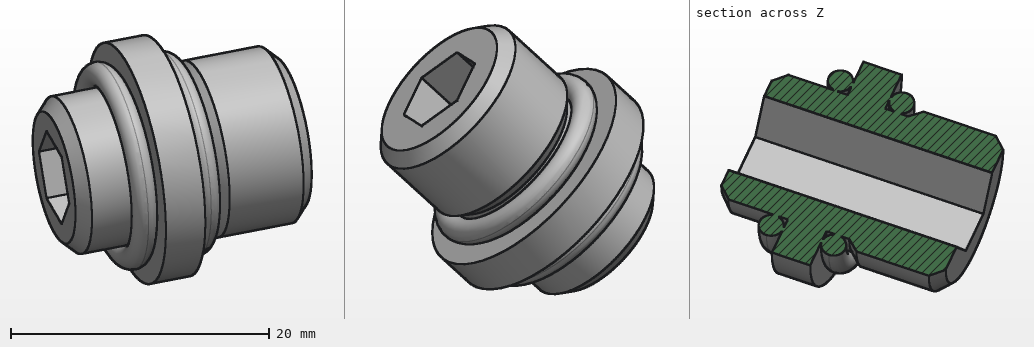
import cadquery as cq

length = 19.05
flange_start = 5.95
flange_end = 9.16
rear_body_start = 12.0

chamfer = 1.01
neck_chamfer_length = 0.95

flange_radius = 9.52
front_radius = 6.23
rear_radius = 7.0
neck_radius = 6.13

front_ring_outer_radius = 8.2
rear_ring_outer_radius = 8.08
ring_section_radius = 1.0
ring_overlap = 0.02

hex_across_flats = 6.36


def turned_body():
    """Stepped body from a half section of (radius, distance from the front face) points."""
    section = [
        (0, 0),
        (front_radius - chamfer, 0),
        (front_radius, chamfer),
        (front_radius, flange_start),
        (flange_radius, flange_start),
        (flange_radius, flange_end),
        (neck_radius, flange_end),
        (neck_radius, rear_body_start - neck_chamfer_length),
        (rear_radius, rear_body_start),
        (rear_radius, length - chamfer),
        (rear_radius - chamfer, length),
        (0, length),
    ]
    body = cq.Workplane("XY").polyline(section).close()
    return body.revolve(360, (0, 0), (0, 1)).translate((0, -length / 2, 0))


def sealing_ring(outer_radius, section_radius, center_y):
    """Round ring about the Y axis."""
    ring = cq.Solid.makeTorus(
        outer_radius - section_radius,
        section_radius,
        cq.Vector(0, center_y - length / 2, 0),
        cq.Vector(0, 1, 0),
    )
    return cq.Workplane("XY").add(ring)


def hex_socket():
    """Hexagonal prism through the whole length."""
    corner_diameter = hex_across_flats / 3**0.5 * 2
    prism = cq.Workplane("XZ").polygon(6, corner_diameter)
    return prism.extrude(length, both=True)


front_ring = sealing_ring(
    front_ring_outer_radius,
    ring_section_radius,
    flange_start - ring_section_radius + ring_overlap,
)
rear_ring = sealing_ring(
    rear_ring_outer_radius,
    ring_section_radius,
    flange_end + ring_section_radius - ring_overlap,
)
result = turned_body().union(front_ring).union(rear_ring).cut(hex_socket())